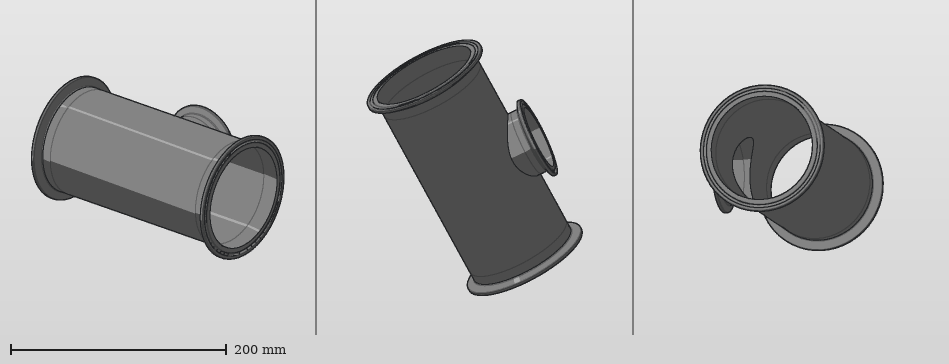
import cadquery as cq
import math

run_length = 206.38
branch_face_y = 66.68

run_tube_dia = 101.6
run_bore_dia = 97.38
run_rim_dia = 118.92
run_groove_dia = 109.6
run_ferrule_length = 15.9

branch_tube_dia = 63.5
branch_bore_dia = 60.2
branch_rim_dia = 77.39
branch_groove_dia = 70.6
branch_ferrule_length = 12.7

rim_width = 3.1
cone_angle = 20
rim_edge_radius = 0.75
cone_root_radius = 1.0
groove_radius = 1.4
groove_lip_radius = 0.5


def make_ferrule(tube_dia, bore_dia, rim_dia, groove_dia, length):
    """Clamp ferrule with its sealing face at Z = 0 and its tube end at Z = length."""
    tube_radius = tube_dia / 2
    bore_radius = bore_dia / 2
    rim_radius = rim_dia / 2
    cone_foot = rim_width + (rim_radius - tube_radius) * math.tan(math.radians(cone_angle))
    body = (
        cq.Workplane("XZ")
        .moveTo(bore_radius, 0)
        .lineTo(rim_radius, 0)
        .lineTo(rim_radius, rim_width)
        .lineTo(tube_radius, cone_foot)
        .lineTo(tube_radius, length)
        .lineTo(bore_radius, length)
        .close()
        .revolve(360, (0, 0), (0, 1))
    )

    tube_circles = body.edges(cq.selectors.RadiusNthSelector(1))
    body = tube_circles.edges("<Z").fillet(cone_root_radius)
    body = body.edges(cq.selectors.RadiusNthSelector(-1)).fillet(rim_edge_radius)

    groove = (
        cq.Workplane("XZ")
        .center(groove_dia / 2, 0)
        .circle(groove_radius)
        .revolve(360, (-groove_dia / 2, 0), (-groove_dia / 2, 1))
    )
    body = body.cut(groove)
    face_circles = body.faces("<Z").edges("%CIRCLE")
    inner_lip = face_circles.edges(cq.selectors.RadiusNthSelector(1))
    outer_lip = face_circles.edges(cq.selectors.RadiusNthSelector(2))
    return inner_lip.add(outer_lip).fillet(groove_lip_radius)


def run_cylinder(diameter):
    """Cylinder along X between the tube ends of the two run ferrules."""
    length = run_length - 2 * run_ferrule_length
    return cq.Workplane("YZ").workplane(offset=-length / 2).circle(diameter / 2).extrude(length)


def branch_cylinder(diameter):
    """Cylinder along +Y from the run axis to the tube end of the branch ferrule."""
    reach = branch_face_y - branch_ferrule_length
    return cq.Workplane("XZ").circle(diameter / 2).extrude(-reach)


def make_tee_body():
    """Run tube and branch tube, joined and bored through."""
    outside = run_cylinder(run_tube_dia).union(branch_cylinder(branch_tube_dia), clean=False)
    return outside.cut(run_cylinder(run_bore_dia)).cut(branch_cylinder(branch_bore_dia))


run_ferrule = make_ferrule(
    run_tube_dia, run_bore_dia, run_rim_dia, run_groove_dia, run_ferrule_length
)
left_ferrule = run_ferrule.rotate((0, 0, 0), (0, 1, 0), 90).translate((-run_length / 2, 0, 0))
right_ferrule = left_ferrule.mirror("YZ")

branch_ferrule = make_ferrule(
    branch_tube_dia, branch_bore_dia, branch_rim_dia, branch_groove_dia, branch_ferrule_length
)
branch_ferrule = branch_ferrule.rotate((0, 0, 0), (1, 0, 0), 90).translate((0, branch_face_y, 0))

tee = make_tee_body()
for ferrule in (left_ferrule, right_ferrule, branch_ferrule):
    tee = tee.union(ferrule, clean=False)
result = tee.solids()